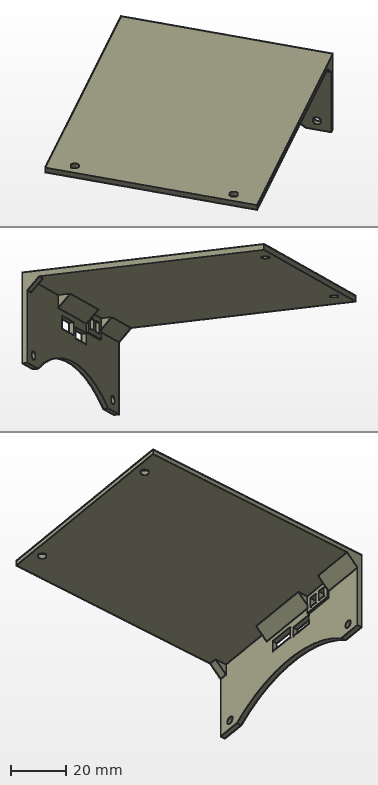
import cadquery as cq

WIDTH = 80.0
DEPTH = 96.1
HEIGHT = 34.0
PLATE_THICKNESS = 2.2
WALL_THICKNESS = 2.0
GUSSET_LEG = 4.8

HOLE_DIAMETER = 3.1
HOLE_EDGE_DISTANCE = 4.0
PLATE_HOLE_SPACING = 60.0
WALL_HOLE_SPACING = 69.0

ARCH_SPAN = 60.9
ARCH_RISE = 10.0

GUSSET_GAP_LEFT = -36.8
GUSSET_GAP_RIGHT = -13.1

PAD_LEFT = 11.5
PAD_WIDTH = 11.5
PAD_DROP = 10.2
PAD_THICKNESS = 0.7

PAD_WINDOW_MARGIN = 1.8
PAD_WINDOW_DROP = 4.2
PAD_WINDOW_WIDTH = 3.0
PAD_WINDOW_HEIGHT = 4.1

LARGE_WINDOW = (-9.6, 9.1, 10.2, 4.8)
SMALL_WINDOW = (2.4, 10.6, 9.1, 4.1)

PLATE_UNDERSIDE = HEIGHT - PLATE_THICKNESS
WALL_FACE = DEPTH - WALL_THICKNESS
PAD_FACE = WALL_FACE - PAD_THICKNESS
PAD_RIGHT = PAD_LEFT + PAD_WIDTH
GUSSET_FRONT = WALL_FACE - GUSSET_LEG
GUSSET_BOTTOM = PLATE_UNDERSIDE - GUSSET_LEG


def block(x_range, y_range, z_range):
    """Axis-aligned box between the given limits."""
    (x0, x1), (y0, y1), (z0, z1) = x_range, y_range, z_range
    return cq.Workplane("XY").box(x1 - x0, y1 - y0, z1 - z0, centered=False).translate((x0, y0, z0))


def bracket_body():
    """Plate, wall and 45-degree gusset as one profile extruded across the width."""
    profile = [
        (0, HEIGHT),
        (DEPTH, HEIGHT),
        (DEPTH, 0),
        (WALL_FACE, 0),
        (WALL_FACE, GUSSET_BOTTOM),
        (GUSSET_FRONT, PLATE_UNDERSIDE),
        (0, PLATE_UNDERSIDE),
    ]
    return cq.Workplane("YZ").polyline(profile).close().extrude(WIDTH / 2, both=True)


def gusset_cutout(left, right, back):
    """Space that clears the gusset between two X positions, back to a given Y."""
    return block((left, right), (GUSSET_FRONT, back), (GUSSET_BOTTOM, PLATE_UNDERSIDE))


def pad():
    """Raised pad, embedded in the wall up to its outer face."""
    return block((PAD_LEFT, PAD_RIGHT), (PAD_FACE, DEPTH), (HEIGHT - PAD_DROP, PLATE_UNDERSIDE))


def window(left, drop, width, height):
    """Rectangular opening through pad and wall; drop is measured from the plate top."""
    top = HEIGHT - drop
    return block((left, left + width), (PAD_FACE, DEPTH), (top - height, top))


def arch():
    """Circular segment removed from the bottom of the wall."""
    half_span = ARCH_SPAN / 2
    return (
        cq.Workplane("XZ", origin=(0, DEPTH, 0))
        .moveTo(-half_span, 0)
        .threePointArc((0, ARCH_RISE), (half_span, 0))
        .close()
        .extrude(WALL_THICKNESS)
    )


def plate_holes():
    """Pair of vertical holes near the front edge of the plate."""
    x = PLATE_HOLE_SPACING / 2
    return (
        cq.Workplane("XY", origin=(0, 0, PLATE_UNDERSIDE))
        .pushPoints([(-x, HOLE_EDGE_DISTANCE), (x, HOLE_EDGE_DISTANCE)])
        .circle(HOLE_DIAMETER / 2)
        .extrude(PLATE_THICKNESS)
    )


def wall_holes():
    """Pair of horizontal holes in the lower corners of the wall."""
    x = WALL_HOLE_SPACING / 2
    return (
        cq.Workplane("XZ", origin=(0, DEPTH, 0))
        .pushPoints([(-x, HOLE_EDGE_DISTANCE), (x, HOLE_EDGE_DISTANCE)])
        .circle(HOLE_DIAMETER / 2)
        .extrude(WALL_THICKNESS)
    )


result = bracket_body()
result = result.cut(gusset_cutout(GUSSET_GAP_LEFT, GUSSET_GAP_RIGHT, WALL_FACE))
result = result.cut(gusset_cutout(PAD_LEFT, PAD_RIGHT, PAD_FACE))
result = result.union(pad())

pad_window_lefts = (
    PAD_LEFT + PAD_WINDOW_MARGIN,
    PAD_RIGHT - PAD_WINDOW_MARGIN - PAD_WINDOW_WIDTH,
)
for window_left in pad_window_lefts:
    result = result.cut(window(window_left, PAD_WINDOW_DROP, PAD_WINDOW_WIDTH, PAD_WINDOW_HEIGHT))
for size in (LARGE_WINDOW, SMALL_WINDOW):
    result = result.cut(window(*size))

result = result.cut(arch()).cut(plate_holes()).cut(wall_holes())